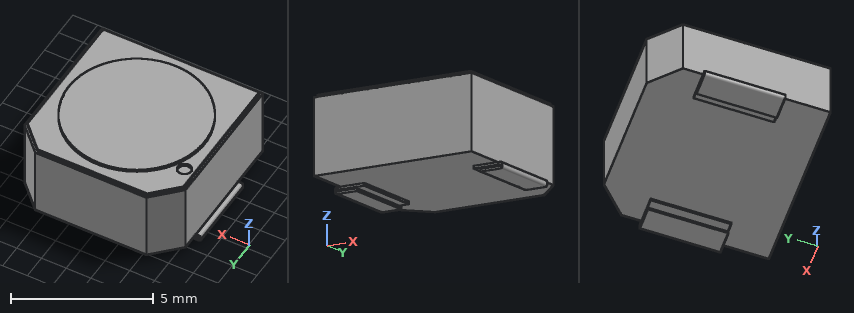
import cadquery as cq

overall_length = 6.9
overall_height = 3.3

housing_side = 6.5
corner_cut = 1.0

layer_thickness = 0.1
cover_inset = 0.1
cover_corner_cut = 0.945
disc_diameter = 5.505
mark_diameter = 0.52
mark_x = -2.75
mark_y = 1.44

terminal_width = 3.0
terminal_height = 0.25
strip_thickness = 0.1
fold_radius = strip_thickness
upper_leg_length = 1.195
lower_leg_length = 0.9

housing_bottom = terminal_height
disc_bottom = overall_height - layer_thickness
cover_bottom = disc_bottom - layer_thickness
housing_height = cover_bottom - housing_bottom


def cut_corner_block(side, cut, bottom, height):
    """Square block with both corners on the +Y side cut off."""
    return (
        cq.Workplane("XY")
        .workplane(offset=bottom)
        .rect(side, side)
        .extrude(height)
        .edges("|Z and >Y")
        .chamfer(cut)
    )


def make_housing():
    return cut_corner_block(housing_side, corner_cut, housing_bottom, housing_height)


def make_cover():
    """Thin plate with a round orientation mark cut through it."""
    side = housing_side - 2 * cover_inset
    plate = cut_corner_block(side, cover_corner_cut, cover_bottom, layer_thickness)
    mark = (
        cq.Workplane("XY")
        .workplane(offset=cover_bottom)
        .center(mark_x, mark_y)
        .circle(mark_diameter / 2)
        .extrude(layer_thickness)
    )
    return plate.cut(mark)


def make_disc():
    return (
        cq.Workplane("XY")
        .workplane(offset=disc_bottom)
        .circle(disc_diameter / 2)
        .extrude(layer_thickness)
    )


def make_terminal(side):
    """Folded strip, open toward the middle; side is -1 for -X and 1 for +X."""
    outer = side * overall_length / 2
    fold_inner = outer - side * strip_thickness
    upper_end = outer - side * upper_leg_length
    lower_end = outer - side * lower_leg_length
    profile = [
        (outer, 0),
        (lower_end, 0),
        (lower_end, strip_thickness),
        (fold_inner, strip_thickness),
        (fold_inner, terminal_height - strip_thickness),
        (upper_end, terminal_height - strip_thickness),
        (upper_end, terminal_height),
        (outer, terminal_height),
    ]
    outer_edges = "|Y and <X" if side < 0 else "|Y and >X"
    return (
        cq.Workplane("XZ")
        .polyline(profile)
        .close()
        .extrude(terminal_width / 2, both=True)
        .edges(outer_edges)
        .fillet(fold_radius)
    )


housing = make_housing()
cover = make_cover()
disc = make_disc()
terminals = [make_terminal(side) for side in (-1, 1)]

result = cq.Compound.makeCompound(
    [housing.val(), cover.val(), disc.val(), *[terminal.val() for terminal in terminals]]
)